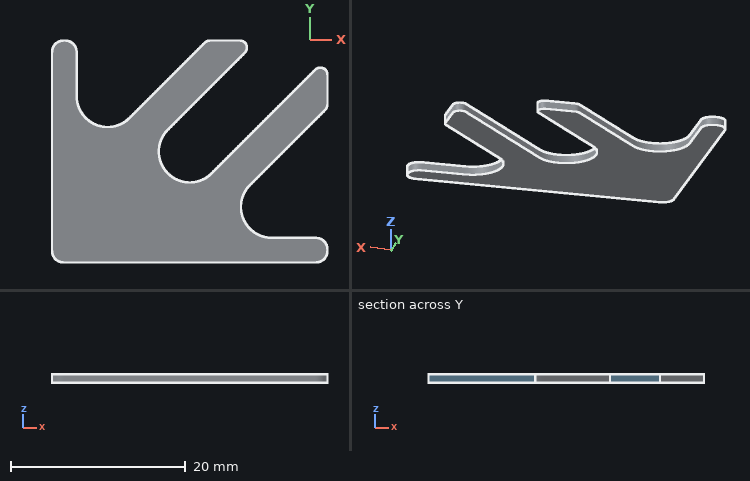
import cadquery as cq
import math

length = 31.5
width = 25.4
thickness = 1.0

arm_width = 2.85
slot_radius = 3.53
arm_corner_radius = 1.32
prong_tip_radius = 0.82

inset = arm_width + slot_radius
upper_slot = (inset, width - inset)
middle_slot = (length / 2, width / 2)
lower_slot = (length - inset, inset)

diagonal = slot_radius / math.sqrt(2)


def upper_tangent(center):
    """Point where the upper-left 45-degree wall meets the slot bottom."""
    return (center[0] - diagonal, center[1] + diagonal)


def lower_tangent(center):
    """Point where the lower-right 45-degree wall meets the slot bottom."""
    return (center[0] + diagonal, center[1] - diagonal)


def slot_bottom(center):
    """Point of the slot bottom deepest along the 45-degree direction."""
    return (center[0] - diagonal, center[1] - diagonal)


def on_top_edge(point):
    """Follow a 45-degree wall from a point to the top edge."""
    return (point[0] + width - point[1], width)


def on_right_edge(point):
    """Follow a 45-degree wall from a point to the right edge."""
    return (length, point[1] + length - point[0])


upper_prong_tip = [
    on_top_edge(lower_tangent(upper_slot)),
    on_top_edge(upper_tangent(middle_slot)),
]
lower_prong_tip = [
    on_right_edge(lower_tangent(middle_slot)),
    on_right_edge(upper_tangent(lower_slot)),
]

arm_corners = [
    (0, 0),
    (length, 0),
    (length, arm_width),
    (0, width),
    (arm_width, width),
]


def round_corners(body, corners, radius):
    """Round the vertical edges that stand on the given corners."""
    for x, y in corners:
        edge = cq.selectors.NearestToPointSelector((x, y, thickness / 2))
        body = body.edges("|Z").edges(edge).fillet(radius)
    return body


plate = (
    cq.Workplane("XY")
    .moveTo(0, 0)
    .lineTo(length, 0)
    .lineTo(length, arm_width)
    .lineTo(lower_slot[0], arm_width)
    .threePointArc(slot_bottom(lower_slot), upper_tangent(lower_slot))
    .lineTo(*lower_prong_tip[1])
    .lineTo(*lower_prong_tip[0])
    .lineTo(*lower_tangent(middle_slot))
    .threePointArc(slot_bottom(middle_slot), upper_tangent(middle_slot))
    .lineTo(*upper_prong_tip[1])
    .lineTo(*upper_prong_tip[0])
    .lineTo(*lower_tangent(upper_slot))
    .threePointArc(slot_bottom(upper_slot), (arm_width, upper_slot[1]))
    .lineTo(arm_width, width)
    .lineTo(0, width)
    .close()
    .extrude(thickness)
)

plate = round_corners(plate, arm_corners, arm_corner_radius)
result = round_corners(plate, upper_prong_tip + lower_prong_tip, prong_tip_radius)